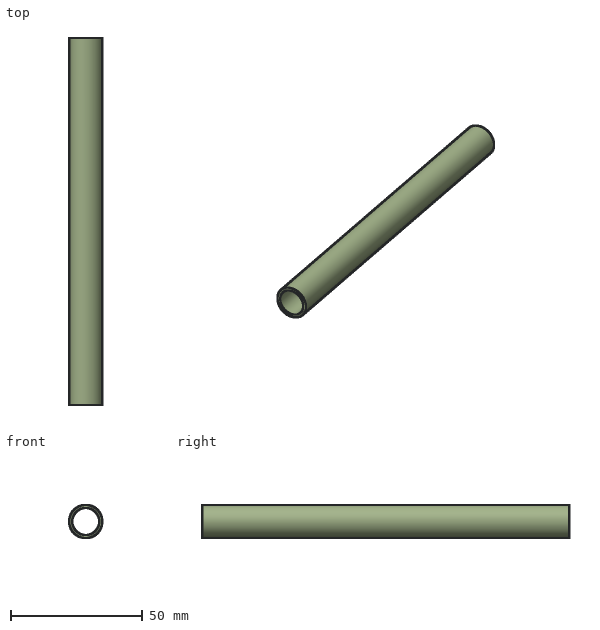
import cadquery as cq

tube_length = 139.7
outer_diameter = 12.7
wall_thickness = 1.3
inner_diameter = outer_diameter - 2 * wall_thickness

result = (
    cq.Workplane("XZ", origin=(0, tube_length / 2, 0))
    .circle(outer_diameter / 2)
    .circle(inner_diameter / 2)
    .extrude(tube_length)
)